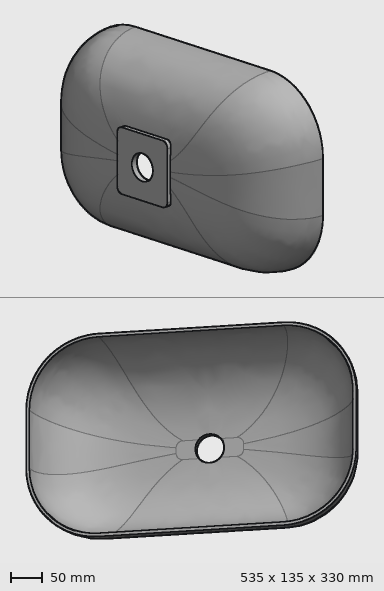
import cadquery as cq
import math

rim_length = 535.0
rim_height = 330.0
rim_corner_radius = 117.5

total_depth = 135.0
bowl_depth = 128.5
wall = 5.5

length_power = 1.8
length_exponent = 0.23
height_power = 2.0
height_exponent = 0.35
section_angles = (0, 6, 14, 24, 36, 48, 58, 67, 75, 81, 85, 88)

pad_side = 111.5
pad_corner_radius = 10.5
pad_embed = 3.0
drain_diameter = 46.5


def taper(relative_depth, power, exponent):
    return (1 - relative_depth ** power) ** exponent


def bowl_solid(length, height, corner_radius, depth):
    """Loft rounded rectangles from the rim down to a small flat floor."""
    nominal_depth = depth / math.sin(math.radians(section_angles[-1]))
    sections = []
    for angle in section_angles:
        relative_depth = math.sin(math.radians(angle))
        length_scale = taper(relative_depth, length_power, length_exponent)
        height_scale = taper(relative_depth, height_power, height_exponent)
        outline = (
            cq.Sketch()
            .rect(length * length_scale, height * height_scale)
            .vertices()
            .fillet(corner_radius * height_scale)
        )
        sections.append(outline.moved(cq.Location(cq.Vector(0, 0, nominal_depth * relative_depth))))
    return cq.Workplane("XZ").placeSketch(*sections).loft()


outer_bowl = bowl_solid(rim_length, rim_height, rim_corner_radius, bowl_depth)
cavity = bowl_solid(
    rim_length - 2 * wall,
    rim_height - 2 * wall,
    rim_corner_radius - wall,
    bowl_depth - wall,
)
shell = outer_bowl.cut(cavity)

pad_thickness = total_depth - bowl_depth + pad_embed
pad = (
    cq.Workplane("XZ", origin=(0, -total_depth, 0))
    .rect(pad_side, pad_side)
    .extrude(-pad_thickness)
    .edges("|Y")
    .fillet(pad_corner_radius)
)

drain = cq.Workplane("XZ").circle(drain_diameter / 2).extrude(total_depth)

result = shell.union(pad).cut(drain)